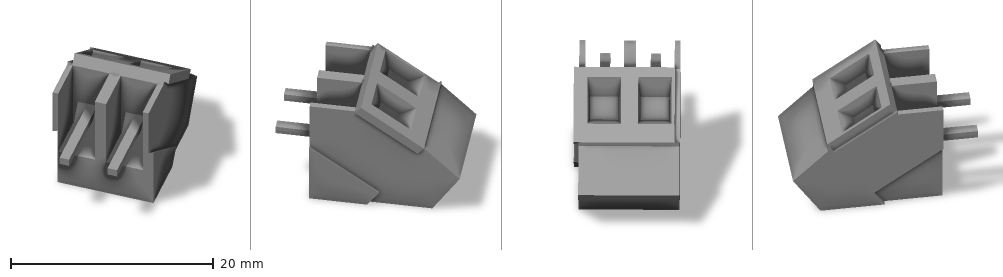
import cadquery as cq
import math

pole_count = 2
pole_pitch = 5.0
first_pole_x = 2.48
module_width = pole_count * pole_pitch
joint_depth = 0.5
tilt_angle = 35.0

back_y = 15.04
back_z = 4.2
bottom_back_y = 12.3
shoulder_y = 11.55
shoulder_z = 7.61
screw_face_back_z = 8.08
peak_z = 12.5
wall_top_z = 11.5

tongue_top_start = (4.65, 11.79)
tongue_top_end = (10.96, 7.39)
tongue_foot_y = 5.85
tongue_low_corner = (7.0, 1.6)
tongue_front_z = 6.47
dovetail_inset = 0.17
groove_clearance = 0.1

cavity_width = 3.82
cavity_floor_z = 3.99
ramp_width = 2.8
ramp_top_z = 6.95

pin_width = 1.0
pin_height = 0.8
pin_bottom_z = 5.8
pin_tip_y = -3.76

pocket_center_y = 8.03
pocket_mouth = (3.3, 4.8)
pocket_floor = (2.82, 2.37)
pocket_depth = 1.6
pocket_back_taper = 0.83

tilt = math.radians(tilt_angle)
sin_tilt = math.sin(tilt)
cos_tilt = math.cos(tilt)
tan_tilt = math.tan(tilt)
peak_y = shoulder_y - (peak_z - screw_face_back_z) / tan_tilt
cavity_back_y = peak_y - (peak_z - wall_top_z) * tan_tilt
pole_positions = [first_pole_x + i * pole_pitch for i in range(pole_count)]


def extrude_profile(points, x_start, width):
    """Extrude a (Y, Z) outline along +X."""
    plane = cq.Workplane("YZ", origin=(x_start, 0, 0))
    return plane.polyline(points).close().extrude(width)


def make_housing():
    outline = [
        (0, 0),
        (bottom_back_y, 0),
        (back_y, back_z),
        (shoulder_y, shoulder_z),
        (shoulder_y, screw_face_back_z),
        (peak_y, peak_z),
        (cavity_back_y, wall_top_z),
        (0, wall_top_z),
    ]
    return extrude_profile(outline, joint_depth, module_width)


def tongue_outline(inset):
    """Side outline of the tongue, its two sloping edges moved inward by the inset."""
    shift_y = inset * sin_tilt
    shift_z = inset * cos_tilt
    return [
        (0, tongue_front_z + inset / cos_tilt),
        (tongue_low_corner[0] + shift_y, tongue_low_corner[1] + shift_z),
        (tongue_foot_y, 0),
        (bottom_back_y, 0),
        (back_y, back_z),
        (shoulder_y, shoulder_z),
        (shoulder_y, screw_face_back_z),
        (tongue_top_end[0] - shift_y, tongue_top_end[1] - shift_z),
        (tongue_top_start[0] - shift_y, tongue_top_start[1] - shift_z),
        (cavity_back_y, wall_top_z),
        (0, wall_top_z),
    ]


def make_tongue(clearance=0):
    """Dovetail tongue, widest on its outer face; the clearance widens it."""
    outer = cq.Workplane("YZ").polyline(tongue_outline(-clearance)).close()
    inner = outer.workplane(offset=joint_depth).polyline(tongue_outline(dovetail_inset - clearance)).close()
    return inner.loft(ruled=True, combine=True)


def make_cavity(x):
    """Wire cavity, open to the front and the top."""
    size_z = wall_top_z - cavity_floor_z
    cavity = cq.Workplane("XY").box(cavity_width, cavity_back_y, size_z, centered=(True, False, False))
    return cavity.translate((x, 0, cavity_floor_z))


def make_ramp(x):
    """Sloping wedge in the corner between cavity floor and back wall."""
    ramp_length = (ramp_top_z - cavity_floor_z) * tan_tilt
    outline = [
        (cavity_back_y - ramp_length, cavity_floor_z),
        (cavity_back_y, cavity_floor_z),
        (cavity_back_y, ramp_top_z),
    ]
    return extrude_profile(outline, x - ramp_width / 2, ramp_width)


def make_pin(x):
    length = cavity_back_y - pin_tip_y
    pin = cq.Workplane("XY").box(pin_width, length, pin_height, centered=(True, False, False))
    return pin.translate((x, pin_tip_y, pin_bottom_z))


def make_pocket(x):
    """Tapered screw pocket sunk square to the sloping face."""
    mouth_z = peak_z - (pocket_center_y - peak_y) * tan_tilt
    screw_face = cq.Plane(
        origin=(x, pocket_center_y, mouth_z),
        xDir=(1, 0, 0),
        normal=(0, sin_tilt, cos_tilt),
    )
    mouth = cq.Workplane(screw_face).rect(*pocket_mouth)
    floor_shift = (pocket_mouth[1] - pocket_floor[1]) / 2 - pocket_back_taper
    floor = mouth.workplane(offset=-pocket_depth).center(0, floor_shift)
    return floor.rect(*pocket_floor).loft(combine=True)


tongue = make_tongue()
groove = make_tongue(groove_clearance).translate((module_width, 0, 0))
result = make_housing().cut(groove).union(tongue)

for pole_x in pole_positions:
    result = result.cut(make_cavity(pole_x))
    result = result.cut(make_pocket(pole_x))
    result = result.union(make_ramp(pole_x))
    result = result.union(make_pin(pole_x))